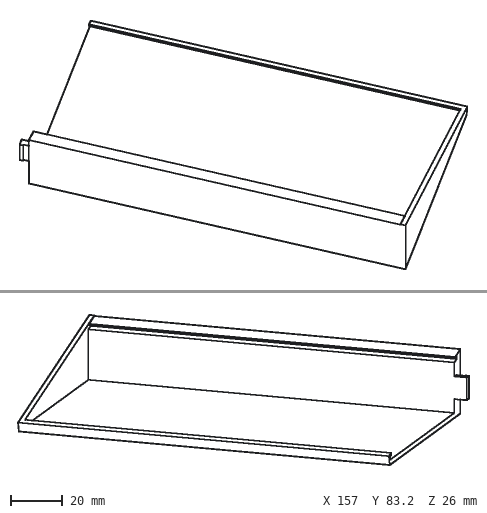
import cadquery as cq
import math

total_length = 157.0
depth = 83.2
height = 26.0
slope = math.tan(math.radians(15))
top_flat = 0.3

wall = 2.0
front_wall = 7.0
back_lip = 2.5

lip_thickness = 1.0
groove_floor_depth = 2.0
groove_front = 4.4
groove_back = 81.8
front_lip_edge = 6.1
front_lip_recess = 0.3

tab_length = 5.0
tab_bottom = 7.5
tab_top = 16.6
tab_back = front_wall
stem_thickness = 2.4
hook_thickness = 2.8
hook_length = 1.4

body_length = total_length - tab_length
cavity_length = body_length - wall


def top_at(y):
    """Height of the sloping top at distance y from the front face."""
    return height - slope * (y - top_flat)


def extrude_profile(points, length):
    """Extrude a Y-Z profile along +X from the open end."""
    return cq.Workplane("YZ").polyline(points).close().extrude(length)


def make_wedge():
    """Solid wedge whose back edge is square to the sloping top."""
    back_height = top_at(depth)
    bottom_depth = depth - slope * back_height
    return extrude_profile(
        [(0, 0), (bottom_depth, 0), (depth, back_height), (top_flat, height), (0, height)],
        body_length,
    )


def make_cavity():
    """Tray space and lid groove, open at the top and at X = 0."""
    back_lip_edge = depth - back_lip
    return extrude_profile(
        [
            (front_wall, wall),
            (groove_back, wall),
            (groove_back, top_at(groove_back) - lip_thickness),
            (back_lip_edge, top_at(back_lip_edge) - lip_thickness),
            (back_lip_edge, height),
            (front_lip_edge, height),
            (front_lip_edge, top_at(front_lip_edge) - lip_thickness),
            (groove_front, top_at(groove_front) - lip_thickness),
            (groove_front, top_at(groove_front) - groove_floor_depth),
            (front_wall, top_at(front_wall) - groove_floor_depth),
        ],
        cavity_length,
    )


def make_front_recess():
    """Shallow strip that lowers the top of the front wall beside the end wall."""
    return extrude_profile(
        [
            (0, top_at(0) - front_lip_recess),
            (front_wall, top_at(front_wall) - front_lip_recess),
            (front_wall, top_at(0)),
            (0, top_at(0)),
        ],
        cavity_length,
    )


def make_latch_tab():
    """Upright tab with a small hook at its free end."""
    hook_front = tab_back - hook_thickness
    stem_front = tab_back - stem_thickness
    hook_end = hook_length - tab_length
    return (
        cq.Workplane("XY")
        .workplane(offset=tab_bottom)
        .polyline(
            [
                (0, tab_back),
                (-tab_length, tab_back),
                (-tab_length, hook_front),
                (hook_end, hook_front),
                (hook_end, stem_front),
                (0, stem_front),
            ]
        )
        .close()
        .extrude(tab_top - tab_bottom)
    )


result = make_wedge().cut(make_cavity()).cut(make_front_recess()).union(make_latch_tab())